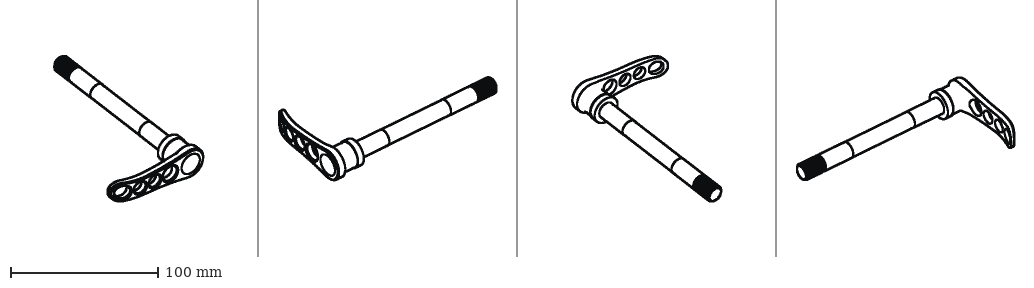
import cadquery as cq
import math

total_length = 144.86

axle_radius = 6.0
thread_pitch = 1.0
thread_depth = 0.65
thread_length = 15.0
groove_mouth_half_width = 0.48
groove_clearance = 0.2
groove_lead_in = 1.0
groove_run_out = 0.6
tip_chamfer = 1.0
relief_end = 16.6
relief_radius = 5.1
relief_chamfer = 0.4
band_start = 40.3
band_end = 93.7
band_radius = 5.9

washer_start = 119.0
washer_thickness = 5.0
washer_radius = 10.0
washer_end = washer_start + washer_thickness

hub_radius = 9.5
flare_radius = 4.8
dome_height = 2.5
dome_radius = 7.9

arm_thickness = 5.2
arm_front = total_length - dome_height
arm_back = arm_front - arm_thickness
head_radius = 11.5
lever_reach = 63.49
tip_radius = 8.05
tip_center = -(lever_reach - tip_radius)
waist_y = -40.6
waist_half_width = 7.5
bend_start = -38.3
bend_radius_back = 58.0
bend_radius_front = 44.0
edge_chamfer = 0.8
arm_holes = [(-17.5, 5.9), (-30.8, 4.75), (-43.1, 4.6), (-55.6, 5.1)]


def cylinder_x(start, end, radius):
    """Cylinder along the assembly axis."""
    return cq.Workplane("YZ", origin=(start, 0, 0)).circle(radius).extrude(end - start)


def make_thread_groove():
    """Helical V groove bounded by ruled faces, from beyond the tip to inside the relief neck."""
    groove_length = groove_lead_in + thread_length + groove_run_out
    root_radius = axle_radius - thread_depth
    mouth_radius = axle_radius + groove_clearance
    section = [
        (root_radius, 0),
        (mouth_radius, groove_mouth_half_width),
        (mouth_radius, -groove_mouth_half_width),
    ]
    corner_helices = [
        cq.Wire.makeHelix(thread_pitch, groove_length, radius, center=cq.Vector(0, 0, offset))
        for radius, offset in section
    ]
    next_helices = corner_helices[1:] + corner_helices[:1]
    sides = [cq.Face.makeRuledSurface(one, other) for one, other in zip(corner_helices, next_helices)]
    end_corners = [
        [helix.startPoint() for helix in corner_helices],
        [helix.endPoint() for helix in corner_helices],
    ]
    ends = [cq.Face.makeFromWires(cq.Wire.makePolygon(corners, close=True)) for corners in end_corners]
    groove = cq.Solid.makeSolid(cq.Shell.makeShell(sides + ends)).fix()
    return cq.Workplane(groove).rotate((0, 0, 0), (0, 1, 0), 90).translate((-groove_lead_in, 0, 0))


def make_axle():
    """Stepped round axle with a threaded tip and a relief neck behind the thread."""
    outline = [
        (0, 0),
        (0, axle_radius - tip_chamfer),
        (tip_chamfer, axle_radius),
        (thread_length, axle_radius),
        (thread_length, relief_radius),
        (relief_end - relief_chamfer, relief_radius),
        (relief_end, axle_radius),
        (band_start, axle_radius),
        (band_start, band_radius),
        (band_end, band_radius),
        (band_end, axle_radius),
        (washer_end, axle_radius),
        (washer_end, 0),
    ]
    blank = cq.Workplane("XY").polyline(outline).close().revolve(360, (0, 0, 0), (1, 0, 0))
    return blank.cut(make_thread_groove())


def make_washer():
    """Plain ring around the axle, against the lever hub."""
    ring = cylinder_x(washer_start, washer_end, washer_radius)
    return ring.cut(cylinder_x(washer_start, washer_end, axle_radius))


def make_arm_plan():
    """Outline of the arm in YZ: round head, sides that curve in to a waist, round tip."""
    rise = head_radius ** 2 - waist_y ** 2 - waist_half_width ** 2
    side_radius = -rise / (2 * (head_radius - waist_half_width))
    side_center_z = waist_half_width + side_radius
    side_center_distance = math.hypot(waist_y, side_center_z)
    tangent_y = head_radius * waist_y / side_center_distance
    tangent_z = head_radius * side_center_z / side_center_distance
    mid_y = (tangent_y + waist_y) / 2
    mid_z = side_center_z - math.sqrt(side_radius ** 2 - (mid_y - waist_y) ** 2)
    outer_run = waist_y - tip_center
    outer_rise = tip_radius - waist_half_width
    outer_radius = (outer_run ** 2 + outer_rise ** 2) / (2 * outer_rise)
    outer_mid_y = (waist_y + tip_center) / 2
    outer_mid_z = waist_half_width + outer_radius - math.sqrt(outer_radius ** 2 - (outer_run / 2) ** 2)
    return (
        cq.Workplane("YZ")
        .moveTo(tangent_y, tangent_z)
        .threePointArc((head_radius, 0), (tangent_y, -tangent_z))
        .threePointArc((mid_y, -mid_z), (waist_y, -waist_half_width))
        .threePointArc((outer_mid_y, -outer_mid_z), (tip_center, -tip_radius))
        .threePointArc((-lever_reach, 0), (tip_center, tip_radius))
        .threePointArc((outer_mid_y, outer_mid_z), (waist_y, waist_half_width))
        .threePointArc((mid_y, mid_z), (tangent_y, tangent_z))
        .close()
    )


def bend_point(face_x, radius, y):
    """Point at y on a bend that starts tangent to the flat face at face_x."""
    run = bend_start - y
    return (face_x - radius + math.sqrt(radius ** 2 - run ** 2), y)


def make_arm_hole(y, radius):
    """Straight cutter along X for one lightening hole."""
    return cq.Workplane("YZ").center(y, 0).circle(radius).extrude(total_length)


def make_arm():
    """Flat arm whose outer end bends toward the threaded tip of the axle."""
    bend_middle = (bend_start - lever_reach) / 2
    bend_end = -lever_reach - 1.0
    side = (
        cq.Workplane("XY", origin=(0, 0, -head_radius))
        .moveTo(arm_back, head_radius)
        .lineTo(arm_front, head_radius)
        .lineTo(arm_front, bend_start)
        .threePointArc(
            bend_point(arm_front, bend_radius_front, bend_middle),
            bend_point(arm_front, bend_radius_front, bend_end),
        )
        .lineTo(*bend_point(arm_back, bend_radius_back, bend_end))
        .threePointArc(
            bend_point(arm_back, bend_radius_back, bend_middle),
            (arm_back, bend_start),
        )
        .close()
        .extrude(2 * head_radius)
    )
    arm = make_arm_plan().extrude(total_length).intersect(side)
    for y, radius in arm_holes:
        arm = arm.cut(make_arm_hole(y, radius))
    bend_center = (*bend_point(arm_front, bend_radius_front, bend_middle), 0)
    bent_front = arm.faces(cq.selectors.NearestToPointSelector(bend_center))
    return arm.faces(">X").add(bent_front).edges("not %LINE").chamfer(edge_chamfer)


def make_hub():
    """Hub behind the arm, flaring out to meet it and trimmed to the arm outline."""
    flare_start = arm_back - flare_radius
    flare_outer = hub_radius + flare_radius
    flare_mid_offset = flare_radius * math.sqrt(0.5)
    hub = (
        cq.Workplane("XY")
        .moveTo(washer_end, 0)
        .lineTo(washer_end, hub_radius)
        .lineTo(flare_start, hub_radius)
        .threePointArc(
            (flare_start + flare_mid_offset, flare_outer - flare_mid_offset),
            (arm_back, flare_outer),
        )
        .lineTo(arm_back, 0)
        .close()
        .revolve(360, (0, 0, 0), (1, 0, 0))
    )
    return hub.intersect(make_arm_plan().extrude(total_length))


def make_dome():
    """Shallow spherical cap on the front of the lever head."""
    sphere_radius = (dome_radius ** 2 + dome_height ** 2) / (2 * dome_height)
    mid_offset = dome_radius / 2
    mid_x = total_length - sphere_radius + math.sqrt(sphere_radius ** 2 - mid_offset ** 2)
    return (
        cq.Workplane("XY")
        .moveTo(arm_front, 0)
        .lineTo(arm_front, dome_radius)
        .threePointArc((mid_x, mid_offset), (total_length, 0))
        .close()
        .revolve(360, (0, 0, 0), (1, 0, 0))
    )


def make_lever():
    """Arm, hub and dome joined into one solid."""
    hub = make_hub()
    for y, radius in arm_holes:
        hub = hub.cut(make_arm_hole(y, radius))
    return make_arm().union(make_dome()).union(hub)


axle = make_axle()
washer = make_washer()
lever = make_lever()

result = cq.Compound.makeCompound([axle.val(), washer.val(), lever.val()])